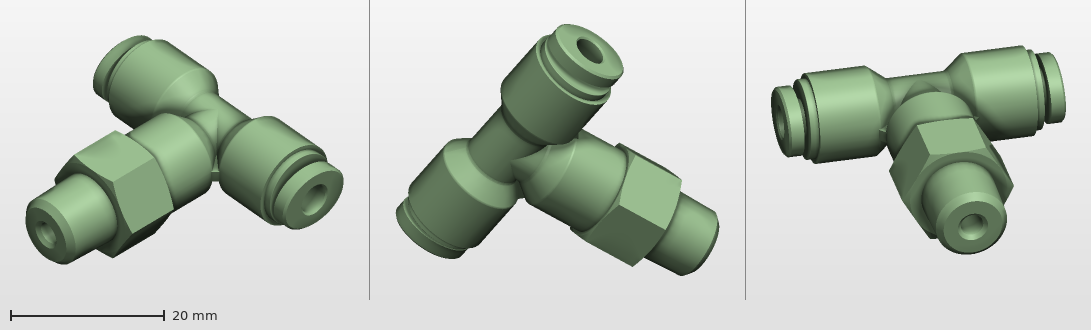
import cadquery as cq
import math


arm_diameter = 11.9
core_diameter = 7.9
core_half_length = 3.92
shoulder_distance = 6.48
shoulder_fillet = 0.4
core_fillet = 0.6
run_end = 14.55
branch_end = 14.4
web_thickness = 1.6
web_reach = 6.75

ring_diameter = 10.6
ring_end = 15.65
ring_edge_fillet = 0.07

sleeve_end = 18.5
sleeve_bore_diameter = 4.18
sleeve_neck_diameter = 5.5
flange_width = 10.75
flange_height = 8.6
flange_thickness = 2.0
flange_chamfer = 0.3
bore_chamfer = 0.22
neck_fillet = 0.1

hex_across_flats = 13.0
hex_length = 8.05
hex_chamfer_angle = 20.0
stud_end = 30.5
thread_root_diameter = 10.0
thread_tip_diameter = 9.55
tip_chamfer_length = 0.9
tip_face_diameter = 7.85
stud_bore_diameter = 3.0
stud_bore_chamfer = 0.5

hex_end = branch_end + hex_length
arm_radius = arm_diameter / 2
core_radius = core_diameter / 2


def revolve_about_x(points):
    """Solid of revolution about X from a closed outline of (distance along X, radius) points."""
    return cq.Workplane("XY").polyline(points).close().revolve(360, (0, 0, 0), (1, 0, 0))


def circles_at(solid, distance):
    """Circular edges of a shape whose centres lie at this distance along X."""
    nearby = 0.005
    return solid.edges("%CIRCLE").edges(cq.selectors.BoxSelector(
        (distance - nearby, -nearby, -nearby),
        (distance + nearby, nearby, nearby),
    ))


def point_to_branch(solid):
    """Turn a shape lying along +X so that it lies along -Y."""
    return solid.rotate((0, 0, 0), (0, 0, 1), -90)


def mirror_to_left(solid):
    """Copy a shape of the right-hand arm to the left-hand arm."""
    return solid.mirror("YZ")


def on_both_arms(right_part):
    """The solid on the right-hand arm and its mirrored copy on the left-hand arm."""
    return [arm_part.val() for arm_part in (right_part, mirror_to_left(right_part))]


def make_arm(end):
    """One arm along +X: core, cone and thick cylinder, with a rounded edge at each end of the cone."""
    arm = revolve_about_x([
        (0, 0),
        (0, core_radius),
        (core_half_length, core_radius),
        (shoulder_distance, arm_radius),
        (end, arm_radius),
        (end, 0),
    ])
    arm = circles_at(arm, shoulder_distance).fillet(shoulder_fillet)
    return circles_at(arm, core_half_length).fillet(core_fillet)


def make_web():
    """Flat plate whose two sloping edges bridge the corners between run and branch."""
    return (
        cq.Workplane("XY")
        .polyline([
            (0, 0),
            (-web_reach, -arm_radius),
            (-arm_radius, -web_reach),
            (arm_radius, -web_reach),
            (web_reach, -arm_radius),
        ])
        .close()
        .extrude(web_thickness / 2, both=True)
    )


def make_tee_body():
    right_arm = make_arm(run_end)
    branch_arm = point_to_branch(make_arm(branch_end))
    return right_arm.union(mirror_to_left(right_arm)).union(branch_arm).union(make_web()).clean()


def make_ring():
    """Ring on the end face of the right-hand arm."""
    return (
        cq.Workplane("YZ", origin=(run_end, 0, 0))
        .circle(ring_diameter / 2)
        .extrude(ring_end - run_end)
        .faces(">X").edges().fillet(ring_edge_fillet)
        .faces(">X").workplane()
        .hole(sleeve_neck_diameter)
    )


def make_sleeve():
    """Sleeve of the right-hand arm: round neck through the ring, oval flange and a through bore."""
    flange_back = sleeve_end - flange_thickness
    neck = (
        cq.Workplane("YZ", origin=(run_end, 0, 0))
        .circle(sleeve_neck_diameter / 2)
        .extrude(sleeve_end - run_end)
    )
    flange = (
        cq.Workplane("YZ", origin=(flange_back, 0, 0))
        .ellipse(flange_width / 2, flange_height / 2)
        .extrude(flange_thickness)
        .faces(">X").edges().chamfer(flange_chamfer)
    )
    bore = (
        cq.Workplane("YZ", origin=(run_end, 0, 0))
        .circle(sleeve_bore_diameter / 2)
        .extrude(sleeve_end - run_end)
    )
    sleeve = neck.union(flange)
    sleeve = circles_at(sleeve, flange_back).fillet(neck_fillet).cut(bore)
    return circles_at(sleeve, sleeve_end).chamfer(bore_chamfer)


def make_hexagon():
    """Hexagon along +X with corners on the Y axis, both ends trimmed by a cone."""
    corner_radius = hex_across_flats / math.sqrt(3)
    flat_radius = hex_across_flats / 2
    trim = (corner_radius - flat_radius) * math.tan(math.radians(hex_chamfer_angle))
    prism = (
        cq.Workplane("YZ", origin=(branch_end, 0, 0))
        .polygon(6, 2 * corner_radius)
        .extrude(hex_length)
    )
    envelope = revolve_about_x([
        (branch_end, 0),
        (branch_end, flat_radius),
        (branch_end + trim, corner_radius),
        (hex_end - trim, corner_radius),
        (hex_end, flat_radius),
        (hex_end, 0),
    ])
    return prism.intersect(envelope)


def make_stud():
    thread = revolve_about_x([
        (hex_end, 0),
        (hex_end, thread_root_diameter / 2),
        (stud_end - tip_chamfer_length, thread_tip_diameter / 2),
        (stud_end, tip_face_diameter / 2),
        (stud_end, 0),
    ])
    bore_radius = stud_bore_diameter / 2
    bore = revolve_about_x([
        (branch_end, 0),
        (branch_end, bore_radius),
        (stud_end - stud_bore_chamfer, bore_radius),
        (stud_end, bore_radius + stud_bore_chamfer),
        (stud_end, 0),
    ])
    return point_to_branch(make_hexagon().union(thread).cut(bore))


tee_body = make_tee_body()
stud = make_stud()
rings = on_both_arms(make_ring())
sleeves = on_both_arms(make_sleeve())

result = cq.Compound.makeCompound([tee_body.val(), stud.val(), *rings, *sleeves])